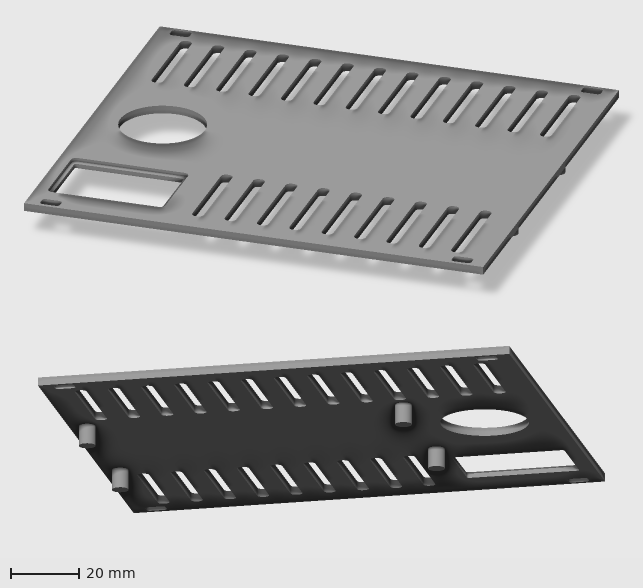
import cadquery as cq

standoff_diameter = 5.0

panel_length = 141.9
panel_width = 128.4
panel_thickness = standoff_diameter / 2

rear_vent_columns = range(-6, 7)
front_vent_columns = range(-2, 7)
vent_span = 120.0
vent_pitch = vent_span / (len(rear_vent_columns) - 1)
vent_width = 3.5
vent_length = 30.1
vent_corner_radius = 1.5
vent_row_y = 42.0

opening_x = -49.1
opening_diameter = 26.1
window_y = -vent_row_y
recess_length = 36.2
recess_width = 24.7
recess_depth = 1.1
recess_corner_radius = 1.7
window_length = 33.8
window_width = 20.7
window_offset_y = 0.3
window_corner_radius = 0.7

mount_x = 63.6
mount_y = 61.3
mount_length = 6.1
mount_width = 3.5
mount_corner_radius = 1.0

overall_height = 8.5
standoff_height = overall_height - panel_thickness
standoff_x_positions = (-29.7, 65.5)
standoff_y = 22.1


def vent_slots(columns, row_y):
    centres = [(column * vent_pitch, row_y) for column in columns]
    return (
        cq.Workplane("XY")
        .pushPoints(centres)
        .rect(vent_width, vent_length)
        .extrude(panel_thickness)
        .edges("|Z")
        .fillet(vent_corner_radius)
    )


def round_opening():
    return (
        cq.Workplane("XY")
        .center(opening_x, 0)
        .circle(opening_diameter / 2)
        .extrude(panel_thickness)
    )


def stepped_window():
    """Through window with a wider, shallow recess around it on the top face."""
    window = (
        cq.Workplane("XY")
        .center(opening_x, window_y + window_offset_y)
        .rect(window_length, window_width)
        .extrude(panel_thickness)
        .edges("|Z")
        .fillet(window_corner_radius)
    )
    recess = (
        cq.Workplane("XY", origin=(0, 0, panel_thickness - recess_depth))
        .center(opening_x, window_y)
        .rect(recess_length, recess_width)
        .extrude(recess_depth)
        .edges("|Z")
        .fillet(recess_corner_radius)
    )
    return window.union(recess)


def mounting_slots():
    return (
        cq.Workplane("XY")
        .rect(2 * mount_x, 2 * mount_y, forConstruction=True)
        .vertices()
        .rect(mount_length, mount_width)
        .extrude(panel_thickness)
        .edges("|Z")
        .fillet(mount_corner_radius)
    )


def make_panel():
    panel = cq.Workplane("XY").box(
        panel_length, panel_width, panel_thickness, centered=(True, True, False)
    )
    panel = panel.cut(vent_slots(rear_vent_columns, vent_row_y))
    panel = panel.cut(vent_slots(front_vent_columns, -vent_row_y))
    panel = panel.cut(round_opening())
    panel = panel.cut(stepped_window())
    panel = panel.cut(mounting_slots())
    return panel


def make_standoff(x, y):
    """Plain cylinder hanging from the underside of the panel."""
    return (
        cq.Workplane("XY")
        .center(x, y)
        .circle(standoff_diameter / 2)
        .extrude(-standoff_height)
    )


panel = make_panel()

standoffs = []
for x in standoff_x_positions:
    for y in (-standoff_y, standoff_y):
        standoffs.append(make_standoff(x, y).val())

result = cq.Compound.makeCompound([panel.val(), *standoffs])